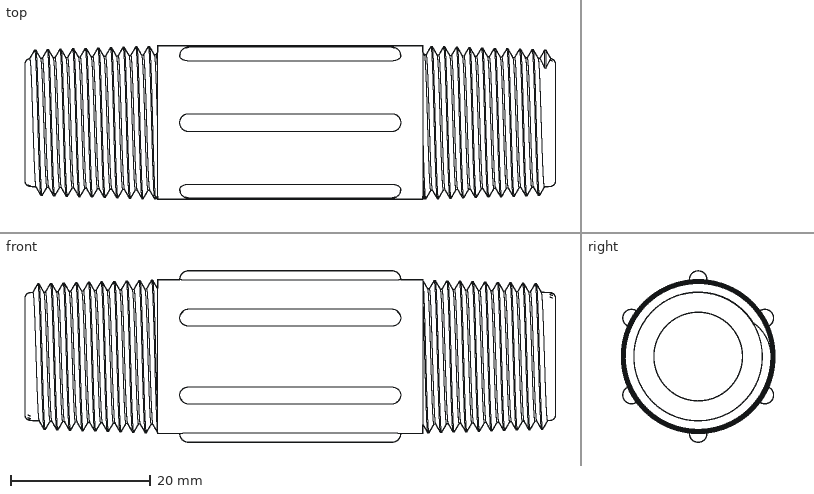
import cadquery as cq
import math

length = 76.2
bore_diameter = 12.7
body_diameter = 22.1
body_length = length / 2
body_radius = body_diameter / 2
end_length = (length - body_length) / 2

pitch = 25.4 / 14
taper_slope = 1 / 32
root_end_radius = 9.18
thread_depth = 1.22
flank_angle = 30
crest_flat = 0.16
thread_start = 1.5
thread_overrun = 0.8
thread_embed = 0.3
runout_radius = 5.9
runout_angle = 60
end_fillet = 0.85

rib_count = 6
rib_radius = 1.27
rib_length = 31.75
first_rib_angle = 90


def tapered_core():
    """Core of one end: a cone along +Z, small rounded end at the origin."""
    top = end_length + thread_overrun
    top_radius = root_end_radius + top * taper_slope
    cone = (
        cq.Workplane("XZ")
        .polyline([(0, 0), (root_end_radius, 0), (top_radius, top), (0, top)])
        .close()
        .revolve(360, (0, 0), (0, 1))
    )
    return cone.faces("<Z").edges().fillet(end_fillet)


def thread_form(root_radius):
    """V-shaped thread section in the XZ plane, its base sunk into the core."""
    inner_radius = root_radius - thread_embed
    crest_radius = root_radius + thread_depth
    half_crest = crest_flat / 2
    half_root = half_crest + thread_depth * math.tan(math.radians(flank_angle))
    return (
        cq.Workplane("XZ")
        .moveTo(inner_radius, -half_root)
        .lineTo(root_radius, -half_root)
        .lineTo(crest_radius, -half_crest)
        .lineTo(crest_radius, half_crest)
        .lineTo(root_radius, half_root)
        .lineTo(inner_radius, half_root)
        .close()
    )


def thread_ridge():
    """Right-handed tapered ridge around +Z; from the +X side its start sinks into the core."""
    height = end_length + thread_overrun - thread_start
    root_radius = root_end_radius + thread_start * taper_slope
    taper_angle = math.degrees(math.atan(taper_slope))
    helix = cq.Wire.makeHelix(pitch, height, root_radius, angle=taper_angle)
    ridge = thread_form(root_radius).sweep(cq.Workplane(obj=helix), isFrenet=True)

    axis_x = root_radius + thread_depth - runout_radius
    runout = thread_form(root_radius).revolve(runout_angle, (axis_x, 1), (axis_x, 0))
    return ridge.union(runout).translate((0, 0, thread_start))


def threaded_end():
    """One threaded end, turned so that it runs from the -X end face toward the body."""
    end = tapered_core().union(thread_ridge())
    turned = end.rotate((0, 0, 0), (1, 1, 1), 120)
    return turned.translate((-length / 2, 0, 0))


def rib(angle):
    """Ball-ended bar parallel to X at the given angle around the body."""
    straight = rib_length - 2 * rib_radius
    bar = cq.Workplane("YZ").circle(rib_radius).extrude(straight / 2, both=True)
    for end_x in (-straight / 2, straight / 2):
        bar = bar.union(cq.Workplane("XY").sphere(rib_radius).translate((end_x, 0, 0)))
    return bar.translate((0, body_radius, 0)).rotate((0, 0, 0), (1, 0, 0), angle)


left_end = threaded_end()
right_end = left_end.rotate((0, 0, 0), (0, 1, 0), 180)

nipple = cq.Workplane("YZ").circle(body_radius).extrude(body_length / 2, both=True)
for index in range(rib_count):
    nipple = nipple.union(rib(first_rib_angle + index * 360 / rib_count))
nipple = nipple.union(left_end).union(right_end)

bore = cq.Workplane("YZ").circle(bore_diameter / 2).extrude(length / 2, both=True)
result = nipple.cut(bore)